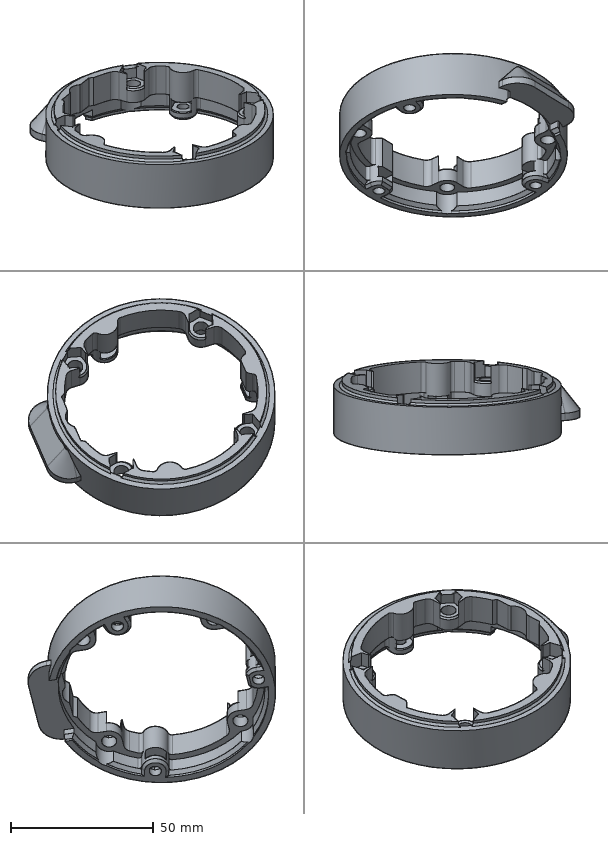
import cadquery as cq
import math

TOTAL_LENGTH = 85.9
RING_RADIUS = 40.0
TOTAL_HEIGHT = 19.0
SHOULDER_Z = 17.1
LIP_BASE_RADIUS = 38.0
LIP_RADIUS = 37.1
LIP_TAPER_TOP_Z = 17.8

BORE_RADIUS = 34.0
RECESS_RADIUS = 36.3
RECESS_TOP_Z = 8.0
BOTTOM_CHAMFER = 1.3
BOTTOM_RIM_HEIGHT = 1.0

BOSS_OFFSET = 23.5
BOSS_RADIUS = 4.6
BOSS_TOP_Z = 13.2
BOSS_CHAMFER = 0.6
BOSS_FILLET = 3.0
SCREW_DIAMETER = 5.2
NUT_RADIUS = 4.7

TAB_ANGLES = (0, 105, -105)
TAB_CENTRE = 34.8
TAB_RADIUS = 4.8
TAB_BORE_FILLET = 1.5
TAB_RECESS_FILLET = 1.0
FLAT_TAB_TIP = 30.7
TAB_SCREW_DIAMETER = 4.2
TRAP_HALF_WIDTH = 3.7
TRAP_FLOOR_Z = 3.3
TRAP_TOP_Z = 7.2
TRAP_BEVEL = 0.35

RELIEF_X = 33.7
RELIEF_HALF = 9.8
RELIEF_END_HALF = 10.8
RELIEF_END_X = 32.1
SCALLOP_RADIUS = 4.7
SCALLOP_DEPTH_X = 35.5

HOOD_REACH = TOTAL_LENGTH - RING_RADIUS
HOOD_HALF_WIDTH = 17.0
HOOD_CORNER = 8.1
HOOD_BOTTOM_Z = 4.9
HOOD_EDGE_Z = 7.55
HOOD_TOP_Z = 16.0
HOOD_TAPER = 37.8
OPENING_HALF = 12.8
OPENING_FACE_X = 37.6

CHAMFER_TOP_Z = BOTTOM_RIM_HEIGHT + BOTTOM_CHAMFER
BOTTOM_RADIUS = RECESS_RADIUS + BOTTOM_CHAMFER
BOSS_DISTANCE = BOSS_OFFSET * math.sqrt(2)
MOUTH_HALF = BOSS_RADIUS / math.sqrt(2)
MATCH_TOLERANCE = 0.01
FAR = 2 * RING_RADIUS
CORNERS = [(sx, sy) for sx in (-1, 1) for sy in (-1, 1)]


def cylinder(radius, bottom, top, x=0.0, y=0.0):
    return cq.Workplane("XY", origin=(x, y, bottom)).circle(radius).extrude(top - bottom)


def block(x_min, x_max, y_min, y_max, bottom, top):
    size = (x_max - x_min, y_max - y_min, top - bottom)
    return cq.Workplane("XY").box(*size, centered=False).translate((x_min, y_min, bottom))


def turn(shape, angle):
    return shape.rotate((0, 0, 0), (0, 0, 1), angle)


def prism(points, bottom, top):
    return cq.Workplane("XY", origin=(0, 0, bottom)).polyline(points).close().extrude(top - bottom)


def ring_blank():
    profile = [
        (0, 0),
        (RING_RADIUS, 0),
        (RING_RADIUS, SHOULDER_Z),
        (LIP_BASE_RADIUS, SHOULDER_Z),
        (LIP_RADIUS, LIP_TAPER_TOP_Z),
        (LIP_RADIUS, TOTAL_HEIGHT),
        (0, TOTAL_HEIGHT),
    ]
    return cq.Workplane("XZ").polyline(profile).close().revolve(360, (0, 0), (0, 1))


def hood():
    """Tapered hood; it runs on into the ring wall."""
    height = HOOD_EDGE_Z - HOOD_BOTTOM_Z
    outline = (
        cq.Sketch()
        .rect(2 * HOOD_REACH, 2 * HOOD_HALF_WIDTH)
        .vertices()
        .fillet(HOOD_CORNER)
    )
    skirt = cq.Workplane("XY", origin=(0, 0, HOOD_BOTTOM_Z)).placeSketch(outline).extrude(height)
    roof = cq.Workplane("XY", origin=(0, 0, HOOD_EDGE_Z)).placeSketch(outline)
    roof = roof.extrude(HOOD_TOP_Z - HOOD_EDGE_Z, taper=HOOD_TAPER)
    inner_half = block(0, FAR, -FAR, FAR, 0, TOTAL_HEIGHT)
    return skirt.union(roof).cut(inner_half)


def boss_pad(sx, sy):
    """Full-height corner block whose inner corner is rounded about the screw axis."""
    inner = BOSS_OFFSET - BOSS_RADIUS
    pad = block(inner, FAR, inner, FAR, 0, TOTAL_HEIGHT)
    pad = pad.edges("|Z and <X and <Y").fillet(BOSS_RADIUS)
    if sx < 0:
        pad = pad.mirror("YZ")
    if sy < 0:
        pad = pad.mirror("XZ")
    return pad


def tab(angle, bottom, top, bevel_face=None, bevel=0.0):
    """Round-nosed tab on the +X axis, chamfered around bevel_face if one is given.

    The nose of the tab at angle 0 is cut flat.
    """
    nose = cylinder(TAB_RADIUS, bottom, top, TAB_CENTRE)
    root = block(TAB_CENTRE, RING_RADIUS, -TAB_RADIUS, TAB_RADIUS, bottom, top)
    shape = nose.union(root)
    flat_limit = block(FLAT_TAB_TIP, FAR, -FAR, FAR, bottom, top)
    if bevel_face:
        shape = shape.faces(bevel_face).chamfer(bevel)
        flat_limit = flat_limit.faces(bevel_face).chamfer(bevel)
    if angle == 0:
        shape = shape.intersect(flat_limit)
    return shape


def side_relief():
    """Shallow flat in the bore at -X, with a scallop in its middle."""
    flat = prism(
        [
            (0, -RELIEF_END_HALF),
            (-RELIEF_END_X, -RELIEF_END_HALF),
            (-RELIEF_X, -RELIEF_HALF),
            (-RELIEF_X, RELIEF_HALF),
            (-RELIEF_END_X, RELIEF_END_HALF),
            (0, RELIEF_END_HALF),
        ],
        0,
        TOTAL_HEIGHT,
    )
    scallop_x = SCALLOP_RADIUS - SCALLOP_DEPTH_X
    return flat.union(cylinder(SCALLOP_RADIUS, 0, TOTAL_HEIGHT, scallop_x))


def fillet_wall_corners(void, wall_radius, fillet_radius):
    """Round the upright edges of a void that lie on its round wall."""

    def on_wall(edge):
        middle = edge.Center()
        return abs(math.hypot(middle.x, middle.y) - wall_radius) < MATCH_TOLERANCE

    return void.edges("|Z").filter(on_wall).fillet(fillet_radius)


def bore_void():
    """Empty space inside the bore, leaving out the boss pads and the tabs."""
    round_bore = cylinder(BORE_RADIUS, 0, TOTAL_HEIGHT)
    padded = round_bore
    for sx, sy in CORNERS:
        padded = padded.cut(boss_pad(sx, sy))
    padded = fillet_wall_corners(padded, BORE_RADIUS, BOSS_FILLET)
    tabbed = round_bore
    for angle in TAB_ANGLES:
        tabbed = tabbed.cut(turn(tab(angle, 0, TOTAL_HEIGHT), angle))
    tabbed = fillet_wall_corners(tabbed, BORE_RADIUS, TAB_BORE_FILLET)
    return padded.intersect(tabbed).union(side_relief())


def recess_layer():
    """Round space of the recess between the tabs, with rounded tab roots."""
    void = cylinder(RECESS_RADIUS, 0, RECESS_TOP_Z)
    for angle in TAB_ANGLES:
        void = void.cut(turn(tab(angle, 0, RECESS_TOP_Z), angle))
    return fillet_wall_corners(void, RECESS_RADIUS, TAB_RECESS_FILLET)


def recess_void():
    """Wide recess under the bore; its mouth is chamfered all round, tabs included."""
    void = recess_layer()
    mouth_profile = [
        (0, 0),
        (BOTTOM_RADIUS, 0),
        (BOTTOM_RADIUS, BOTTOM_RIM_HEIGHT),
        (RECESS_RADIUS, CHAMFER_TOP_Z),
        (0, CHAMFER_TOP_Z),
    ]
    mouth = cq.Workplane("XZ").polyline(mouth_profile).close().revolve(360, (0, 0), (0, 1))
    for angle in TAB_ANGLES:
        foot = tab(angle, 0, CHAMFER_TOP_Z, "<Z", BOTTOM_RIM_HEIGHT)
        mouth = mouth.cut(turn(foot, angle))
    void = void.union(mouth)
    for sx, sy in CORNERS:
        void = void.union(cylinder(BOSS_RADIUS, 0, RECESS_TOP_Z, sx * BOSS_OFFSET, sy * BOSS_OFFSET))
    return void


def hexagon(centre_x, radius, bottom, top, turned=0):
    """Hexagonal prism with a corner towards +X, or turned from there by an angle."""
    shape = cq.Workplane("XY").polygon(6, 2 * radius).extrude(top - bottom)
    return turn(shape, turned).translate((centre_x, 0, bottom))


def nut_trap(angle):
    """Side-loaded hexagonal nut slot through the nose of a tab, and its screw hole."""
    corner_radius = TRAP_HALF_WIDTH / math.cos(math.radians(30))
    slot = block(0, TAB_CENTRE, -TRAP_HALF_WIDTH, TRAP_HALF_WIDTH, TRAP_FLOOR_Z, TRAP_TOP_Z)
    slot = slot.union(hexagon(TAB_CENTRE, corner_radius, TRAP_FLOOR_Z, TRAP_TOP_Z))
    foot = tab(angle, 0, TRAP_FLOOR_Z)
    bevel = foot.cut(tab(angle, 0, TRAP_FLOOR_Z, ">Z", TRAP_BEVEL))
    bevel = bevel.intersect(block(0, TAB_CENTRE, -TRAP_HALF_WIDTH, TRAP_HALF_WIDTH, 0, TRAP_FLOOR_Z))
    screw = cylinder(TAB_SCREW_DIAMETER / 2, 0, TRAP_FLOOR_Z, TAB_CENTRE)
    return slot.union(bevel).union(screw)


def nut_seat():
    """Hexagonal seat above a boss on the +X axis, open towards the ring centre."""
    seat = hexagon(BOSS_DISTANCE, NUT_RADIUS, BOSS_TOP_Z, TOTAL_HEIGHT, turned=30)
    mouth = block(0, BOSS_DISTANCE, -MOUTH_HALF, MOUTH_HALF, BOSS_TOP_Z, TOTAL_HEIGHT)
    return seat.union(mouth)


def lip_gap():
    """Gap in the lip where the outer flanks of the nut seat run out to a point."""
    apex = BOSS_DISTANCE + NUT_RADIUS * math.sqrt(3)
    points = [(BOSS_DISTANCE, -NUT_RADIUS), (apex, 0), (BOSS_DISTANCE, NUT_RADIUS)]
    return prism(points, SHOULDER_Z, TOTAL_HEIGHT)


def boss_rim():
    """Ring that bevels the inner half of the top edge of a boss."""
    bevel = [
        (BOSS_RADIUS - BOSS_CHAMFER, BOSS_TOP_Z),
        (BOSS_RADIUS + BOSS_CHAMFER, BOSS_TOP_Z),
        (BOSS_RADIUS + BOSS_CHAMFER, BOSS_TOP_Z - 2 * BOSS_CHAMFER),
    ]
    ring = cq.Workplane("XZ").polyline(bevel).close().revolve(360, (0, 0), (0, 1))
    ring = ring.translate((BOSS_DISTANCE, 0, 0))
    return ring.intersect(block(0, BOSS_DISTANCE, -MOUTH_HALF, MOUTH_HALF, 0, TOTAL_HEIGHT))


def screw_hole():
    return cylinder(SCREW_DIAMETER / 2, 0, TOTAL_HEIGHT, BOSS_DISTANCE)


def hood_opening():
    """Opening through the wall under the hood, flared like the recess mouth."""
    flare_half = OPENING_HALF + BOTTOM_CHAMFER
    profile = [
        (-flare_half, 0),
        (flare_half, 0),
        (flare_half, BOTTOM_RIM_HEIGHT),
        (OPENING_HALF, CHAMFER_TOP_Z),
        (OPENING_HALF, HOOD_BOTTOM_Z),
        (-OPENING_HALF, HOOD_BOTTOM_Z),
        (-OPENING_HALF, CHAMFER_TOP_Z),
        (-flare_half, BOTTOM_RIM_HEIGHT),
    ]
    opening = cq.Workplane("YZ").polyline(profile).close().extrude(-FAR)
    return opening.union(block(-FAR, -OPENING_FACE_X, -FAR, FAR, 0, HOOD_BOTTOM_Z))


result = ring_blank().union(hood())
result = result.cut(hood_opening())
result = result.cut(bore_void()).cut(recess_void())
for tab_angle in TAB_ANGLES:
    result = result.cut(turn(nut_trap(tab_angle), tab_angle))
for quadrant in range(4):
    for cutter in (nut_seat(), lip_gap(), boss_rim(), screw_hole()):
        result = result.cut(turn(cutter, 45 + 90 * quadrant))